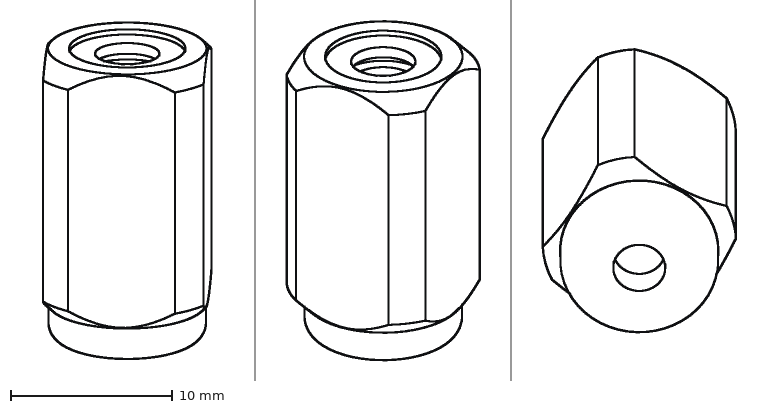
import cadquery as cq

total_height = 19.0
corner_radius = 6.0
across_flats = 10.0
square_turn = 45.0
end_face_radius = 4.92
corner_chamfer = corner_radius - end_face_radius

collar_radius = 4.9
collar_height = 2.3
collar_fillet = 1.0

bore_radius = 1.62
bore_chamfer = 0.38
washer_radius = 3.61
washer_hole_radius = 2.0
washer_thickness = 0.7
washer_recess = 0.35
pocket_radius = 2.89
pocket_depth = 0.68

body_height = total_height - collar_height
washer_bottom = total_height - washer_recess - washer_thickness
pocket_floor = washer_bottom - pocket_depth


def disc(radius, bottom, height):
    return cq.Workplane("XY").workplane(offset=bottom).circle(radius).extrude(height)


def make_body():
    """Square bar set on its corners, with turned corners, bored through and stepped at the top."""
    turned = disc(corner_radius, collar_height, body_height).edges("%CIRCLE").chamfer(corner_chamfer)
    square = (
        cq.Workplane("XY")
        .workplane(offset=collar_height)
        .rect(across_flats, across_flats)
        .extrude(body_height)
        .rotate((0, 0, 0), (0, 0, 1), square_turn)
    )
    bore = disc(bore_radius, collar_height, body_height)
    lead_in = cq.Workplane("XY").add(
        cq.Solid.makeCone(
            bore_radius,
            bore_radius + bore_chamfer,
            bore_chamfer,
            pnt=cq.Vector(0, 0, pocket_floor - bore_chamfer),
        )
    )
    pocket = disc(pocket_radius, pocket_floor, pocket_depth)
    washer_seat = disc(washer_radius, washer_bottom, total_height - washer_bottom)
    return turned.intersect(square).cut(bore).cut(lead_in).cut(pocket).cut(washer_seat)


def make_collar():
    """Round collar under the bar, rounded at its lower outer edge."""
    collar = disc(collar_radius, 0, collar_height).faces("<Z").edges().fillet(collar_fillet)
    return collar.cut(disc(bore_radius, 0, collar_height))


def make_washer():
    """Flat washer sunk into the top of the bar."""
    washer = disc(washer_radius, washer_bottom, washer_thickness)
    return washer.cut(disc(washer_hole_radius, washer_bottom, washer_thickness))


body = make_body()
collar = make_collar()
washer = make_washer()

result = cq.Compound.makeCompound([body.solids().val(), collar.val(), washer.val()])